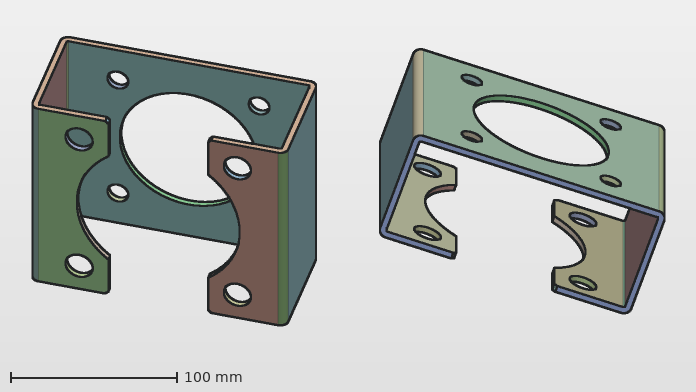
import cadquery as cq
import math

width = 160.0
depth = 70.0
height = 135.0
sheet = 4.0
inner_bend_radius = 1.0
outer_bend_radius = inner_bend_radius + sheet

lip_gap = 62.4
lip_chamfer = 2.0
lip_arc_diameter = 102.0
lip_hole_diameter = 17.0
lip_bolt_circle = 140.0

bore_diameter = 86.0
web_hole_diameter = 13.0
web_bolt_circle = 125.0

front_y = -depth / 2
web_y = depth / 2 - sheet


def cylinders(points, diameter, start_y):
    """Cutters along +Y, one sheet long, at the given (x, z) points."""
    plane = cq.Workplane("XZ", origin=(0, start_y, 0))
    return plane.pushPoints(points).circle(diameter / 2).extrude(-sheet)


def bolt_points(bolt_circle):
    """Four points on the diagonals of a bolt circle."""
    offset = bolt_circle / 2 / math.sqrt(2)
    return [(sx * offset, sz * offset) for sx in (-1, 1) for sz in (-1, 1)]


def folded_tube():
    """Closed rectangular tube with rounded bends."""
    outer = cq.Workplane("XY").box(width, depth, height)
    outer = outer.edges("|Z").fillet(outer_bend_radius)
    inner = cq.Workplane("XY").box(width - 2 * sheet, depth - 2 * sheet, height)
    inner = inner.edges("|Z").fillet(inner_bend_radius)
    return outer.cut(inner)


def lip_opening():
    """Gap between the lips, flared at both ends to chamfer the lip corners."""
    half_gap = lip_gap / 2
    half_height = height / 2
    flared_half_gap = half_gap + lip_chamfer
    flare_start = half_height - lip_chamfer
    right_side = [
        (flared_half_gap, half_height),
        (half_gap, flare_start),
        (half_gap, -flare_start),
        (flared_half_gap, -half_height),
    ]
    left_side = [(-x, z) for x, z in reversed(right_side)]
    plane = cq.Workplane("XZ", origin=(0, front_y, 0))
    return plane.polyline(right_side + left_side).close().extrude(-sheet)


result = folded_tube().cut(lip_opening())

result = result.cut(cylinders([(0, 0)], lip_arc_diameter, front_y))
result = result.cut(cylinders(bolt_points(lip_bolt_circle), lip_hole_diameter, front_y))

result = result.cut(cylinders([(0, 0)], bore_diameter, web_y))
result = result.cut(cylinders(bolt_points(web_bolt_circle), web_hole_diameter, web_y))